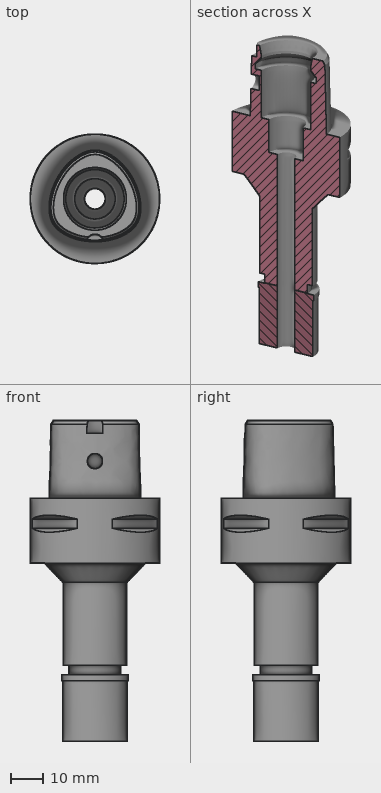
import cadquery as cq
import math

overall_height = 99
collar_top = 75.0
collar_bottom = 54.9
cone_bottom = 49.0
neck_bottom = 23.5
nut_height = 20.6
nut_rim_height = 2.0

collar_radius = 20.0
cone_top_radius = 15.5
neck_radius = 9.8
relief_radius = 8.0
nut_rim_radius = 10.3
nut_radius = 10.0

shank_base_radius = 14.2
shank_taper = 1 / 20
shank_lobe = 0.9
shank_chamfer_height = 1.3
shank_chamfer_inset = 0.8
outline_steps = 24

entry_radius = 9.7
entry_depth = 3.3
lip_depth = 4.2
clamp_groove_radius = 11.2
clamp_groove_depth = 8.0
bore_radius = 9.0
bore_depth = 23.8
lower_bore_radius = 6.2
lower_bore_depth = 34.65
through_radius = 3.2

key_radius = 2.62
key_inner_reach = 10.9
key_depth = 4.0
dimple_radius = 2.33
dimple_drop = 12.6
dimple_floor_distance = 9.9

gripper_count = 4
gripper_first_angle = 45
gripper_height = 67.1
gripper_floor_distance = 17.4
gripper_floor_width = 2.8
gripper_mouth_width = 5.2


def lobed_section(mean_radius, height):
    """Closed outline whose distance to each tangent is mean_radius + lobe * cos(3 * angle)."""
    points = []
    for step in range(outline_steps):
        angle = 2 * math.pi * step / outline_steps
        lobe_along = mean_radius * math.cos(angle)
        lobe_along += shank_lobe * (2 * math.cos(2 * angle) - math.cos(4 * angle))
        lobe_across = mean_radius * math.sin(angle)
        lobe_across -= shank_lobe * (2 * math.sin(2 * angle) + math.sin(4 * angle))
        points.append(cq.Vector(-lobe_across, lobe_along, height))
    return cq.Wire.assembleEdges([cq.Edge.makeSpline(points, periodic=True)])


def make_shank():
    chamfer_start = overall_height - shank_chamfer_height
    end_radius = shank_base_radius - shank_taper / 2 * (chamfer_start - collar_top)
    base = lobed_section(shank_base_radius, collar_top)
    shoulder = lobed_section(end_radius, chamfer_start)
    tip = lobed_section(end_radius - shank_chamfer_inset, overall_height)
    taper = cq.Solid.makeLoft([base, shoulder], True)
    chamfer = cq.Solid.makeLoft([shoulder, tip], True)
    return cq.Workplane(taper).union(cq.Workplane(chamfer))


def make_round_body():
    return (
        cq.Workplane("XZ")
        .moveTo(0, nut_height)
        .lineTo(relief_radius, nut_height)
        .lineTo(relief_radius, neck_bottom)
        .lineTo(neck_radius, neck_bottom)
        .lineTo(neck_radius, cone_bottom)
        .lineTo(cone_top_radius, collar_bottom)
        .lineTo(collar_radius, collar_bottom)
        .lineTo(collar_radius, collar_top)
        .lineTo(0, collar_top)
        .close()
        .revolve(360, (0, 0), (0, 1))
    )


def make_bore():
    lip_height = overall_height - lip_depth
    entry_floor = overall_height - entry_depth
    flare_height = clamp_groove_radius - bore_radius
    groove_floor = overall_height - clamp_groove_depth
    bore_floor = overall_height - bore_depth
    lower_floor = overall_height - lower_bore_depth
    return (
        cq.Workplane("XZ")
        .moveTo(0, overall_height)
        .lineTo(entry_radius, overall_height)
        .lineTo(bore_radius, entry_floor)
        .lineTo(bore_radius, lip_height)
        .lineTo(clamp_groove_radius, lip_height - flare_height)
        .lineTo(clamp_groove_radius, groove_floor)
        .lineTo(bore_radius, groove_floor)
        .lineTo(bore_radius, bore_floor)
        .lineTo(lower_bore_radius, bore_floor)
        .lineTo(lower_bore_radius, lower_floor)
        .lineTo(through_radius, lower_floor)
        .lineTo(through_radius, nut_height)
        .lineTo(0, nut_height)
        .close()
        .revolve(360, (0, 0), (0, 1))
    )


def make_key_slot():
    return (
        cq.Workplane("XY", origin=(0, -key_inner_reach - key_radius, overall_height - key_depth))
        .circle(key_radius)
        .extrude(key_depth)
    )


def make_dimple():
    return (
        cq.Workplane("XZ", origin=(0, -dimple_floor_distance, overall_height - dimple_drop))
        .circle(dimple_radius)
        .extrude(collar_radius - dimple_floor_distance)
    )


def make_gripper_slot(angle):
    """Straight slot across the collar rim, flaring from a flat floor to a wider mouth."""
    return (
        cq.Workplane("XZ")
        .moveTo(gripper_floor_distance, gripper_height - gripper_floor_width / 2)
        .lineTo(collar_radius, gripper_height - gripper_mouth_width / 2)
        .lineTo(collar_radius, gripper_height + gripper_mouth_width / 2)
        .lineTo(gripper_floor_distance, gripper_height + gripper_floor_width / 2)
        .close()
        .extrude(collar_radius, both=True)
        .rotate((0, 0, 0), (0, 0, 1), angle)
    )


def make_holder():
    body = make_round_body().union(make_shank())
    body = body.cut(make_bore()).cut(make_key_slot()).cut(make_dimple())
    for index in range(gripper_count):
        body = body.cut(make_gripper_slot(gripper_first_angle + index * 360 / gripper_count))
    return body


def make_nut():
    barrel = cq.Workplane("XY").circle(nut_radius).extrude(nut_height)
    rim = (
        cq.Workplane("XY", origin=(0, 0, nut_height - nut_rim_height))
        .circle(nut_rim_radius)
        .extrude(nut_rim_height)
    )
    hole = cq.Workplane("XY").circle(through_radius).extrude(nut_height)
    return barrel.union(rim).cut(hole)


holder = make_holder()
nut = make_nut()

result = cq.Compound.makeCompound([holder.val(), nut.val()])